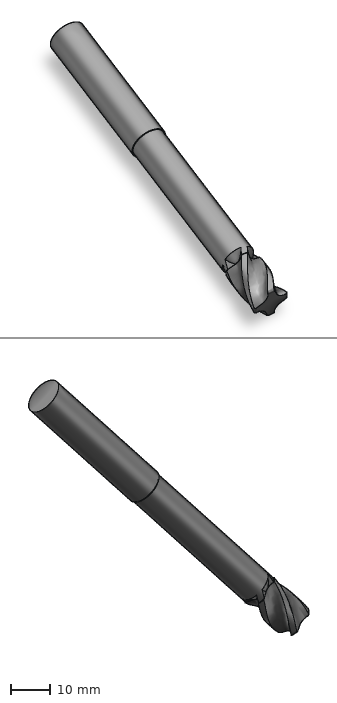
import cadquery as cq
import math

total_length = 100.0
shank_length = 40.0
head_length = 14.0
runout_length = 2.3
head_start = total_length - head_length
runout_start = head_start - runout_length

shank_radius = 5.0
neck_radius = 4.7
cutter_radius = shank_radius
core_radius = 3.0
corner_radius = 0.5

tooth_count = 4
twist_per_length = 7.0
cutting_edge_angle = 5.0
land_angle = 22.0
rake_foot_lead = 5.0
root_tangent = 0.8
rib_overhang = 0.6


def polar(radius, degrees):
    """Point of a cross-section given by its radius and angle."""
    angle = math.radians(degrees)
    return radius * math.cos(angle), radius * math.sin(angle)


def toward(start, target, distance):
    """Point at a given distance from start on the line to target."""
    fraction = distance / math.dist(start, target)
    return tuple(a + fraction * (b - a) for a, b in zip(start, target))


def step(start, end):
    """Vector from start to end."""
    return end[0] - start[0], end[1] - start[1]


def fluted_bar(start, length):
    """Helically fluted bar in phase with the teeth; its ribs stand proud of the cutter radius."""
    phase = cutting_edge_angle + twist_per_length * (start - head_start)
    tooth_pitch = 360.0 / tooth_count
    section = cq.Workplane("YZ", origin=(start, 0, 0))
    for tooth in range(tooth_count):
        edge = phase + tooth * tooth_pitch
        cutting_edge = polar(cutter_radius, edge)
        root = polar(core_radius, edge + rake_foot_lead)
        next_land = polar(cutter_radius, edge + tooth_pitch - land_angle)
        rib_front = toward(root, cutting_edge, math.dist(root, cutting_edge) + rib_overhang)
        next_rib_back = toward(root, next_land, math.dist(root, next_land) + rib_overhang)
        section = section.moveTo(*rib_front) if tooth == 0 else section.lineTo(*rib_front)
        rake_end = toward(root, cutting_edge, root_tangent)
        floor_start = toward(root, next_land, root_tangent)
        section = section.spline(
            [rake_end, floor_start, next_rib_back],
            tangents=[step(rib_front, root), step(root, next_rib_back)],
            includeCurrent=True,
        )
    return section.close().twistExtrude(length, twist_per_length * length)


def revolved(outline):
    """Solid of revolution about X from (x, radius) points."""
    return cq.Workplane("XZ").polyline(outline).close().revolve(360, (0, 0, 0), (1, 0, 0))


def make_shank():
    """Shank and reduced neck, with the flutes running out into the end of the neck."""
    bar = revolved([
        (0, 0),
        (0, shank_radius),
        (shank_length, shank_radius),
        (shank_length, neck_radius),
        (head_start, neck_radius),
        (head_start, 0),
    ])
    runout_zone = cq.Workplane("YZ", origin=(runout_start, 0, 0)).circle(cutter_radius).extrude(runout_length)
    runout_cone = revolved([
        (runout_start, 0),
        (runout_start, neck_radius),
        (head_start, core_radius),
        (head_start, 0),
    ])
    gullets = runout_zone.cut(fluted_bar(runout_start, runout_length)).cut(runout_cone)
    return bar.cut(gullets)


def make_cutting_head():
    """Fluted cutting head with rounded tooth corners."""
    envelope = (
        cq.Workplane("YZ", origin=(head_start, 0, 0))
        .circle(cutter_radius)
        .extrude(head_length)
        .faces(">X")
        .edges()
        .fillet(corner_radius)
    )
    return fluted_bar(head_start, head_length).intersect(envelope)


shank = make_shank()
cutting_head = make_cutting_head()

result = cq.Compound.makeCompound([shank.val(), cutting_head.val()])